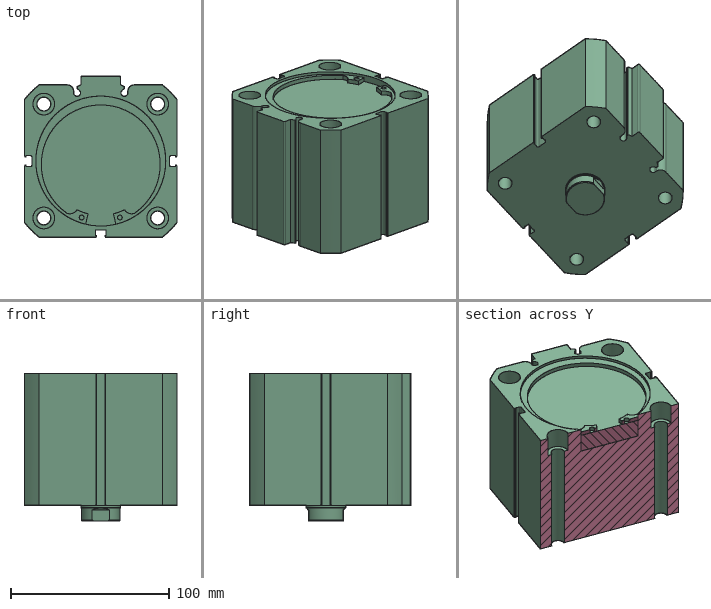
import cadquery as cq
import math


WIDTH = 96.5
HALF_WIDTH = WIDTH / 2
HEIGHT = 83.5
CORNER_RADIUS = 62.0

RAIL_WIDTH = 25.0
RAIL_TOP = 53.75
RAIL_EDGE_FILLET = 0.8

NOTCH_RADIUS = 2.1
NOTCH_X = 14.95
NOTCH_Y = 43.1
NOTCH_NECK_ANGLE = 120.0
LIP_X = 15.0
LIP_BOTTOM = 45.8
LIP_TOP = 47.0
SHOULDER_RADIUS = 4.3

SIDE_MOUTH_WIDTH = 5.2
SIDE_MOUTH_CHAMFER = 0.5
SIDE_POCKET_WIDTH = 6.8
SIDE_SLOT_DEPTH = 4.7
SIDE_LIP_THICKNESS = 1.1
SIDE_POCKET_FILLET = 0.8
FRONT_MOUTH_WIDTH = 5.4
FRONT_MOUTH_CHAMFER = 0.4
FRONT_POCKET_WIDTH = 6.4
FRONT_SLOT_DEPTH = 4.6
FRONT_LIP_THICKNESS = 1.3

BOLT_SPACING = 72.0
BOLT_HOLE_DIAMETER = 8.6
COUNTERBORE_DIAMETER = 13.7
COUNTERBORE_DEPTH = 13.0

BORE_RADIUS = 41.1
RING_RECESS = 1.7
RING_THICKNESS = 2.6
CAP_THICKNESS = 12.0
RING_TOP = HEIGHT - RING_RECESS
CAP_TOP = RING_TOP - RING_THICKNESS
CAP_BOTTOM = CAP_TOP - CAP_THICKNESS

RING_OPENING_RADIUS = 37.6
RING_OPENING_Y = -2.1
LUG_RADIUS = 34.3
LUG_GAP_ANGLE = 13.5
LUG_TIP_ANGLE = 26.0
LUG_RELIEF_X = 18.2
LUG_RELIEF_Y = -33.2
LUG_RELIEF_END_X = 21.4
LUG_HOLE_X = 12.1
LUG_HOLE_Y = -35.7
LUG_HOLE_DIAMETER = 3.0

ROD_RADIUS = 12.6
ROD_TIP_RADIUS = 12.3
ROD_LENGTH_OUTSIDE = 10.0
ROD_STEP_TOP = -1.3
ROD_STEP_BOTTOM = -1.8
ROD_END_CHAMFER_WIDTH = 0.4
ROD_END_CHAMFER_HEIGHT = 0.8
FLATS_WIDTH = 22.0
FLATS_TOP = -3.0
FLATS_RUNOUT = 2.0


def polar_from_minus_y(radius, angle):
    """Point at an angle from -Y, turning towards +X."""
    turn = math.radians(angle)
    return radius * math.sin(turn), -radius * math.cos(turn)


def make_rail():
    return (
        cq.Workplane("XY")
        .center(0, RAIL_TOP / 2)
        .rect(RAIL_WIDTH, RAIL_TOP)
        .extrude(HEIGHT)
        .edges("|Z and >Y")
        .fillet(RAIL_EDGE_FILLET)
    )


def make_rail_notch():
    """Notch on the +X side of the rail."""
    neck = math.radians(NOTCH_NECK_ANGLE)
    neck_point = (NOTCH_X + NOTCH_RADIUS * math.cos(neck), NOTCH_Y + NOTCH_RADIUS * math.sin(neck))
    wall_x = NOTCH_X + NOTCH_RADIUS
    shoulder_x = wall_x + SHOULDER_RADIUS
    shoulder_y = HALF_WIDTH - SHOULDER_RADIUS
    shoulder_offset = SHOULDER_RADIUS * math.sqrt(0.5)
    return (
        cq.Workplane("XY")
        .moveTo(RAIL_WIDTH / 2, HALF_WIDTH)
        .lineTo(LIP_X, LIP_TOP)
        .lineTo(LIP_X, LIP_BOTTOM)
        .lineTo(*neck_point)
        .threePointArc((NOTCH_X, NOTCH_Y - NOTCH_RADIUS), (wall_x, NOTCH_Y))
        .lineTo(wall_x, shoulder_y)
        .threePointArc(
            (shoulder_x - shoulder_offset, shoulder_y + shoulder_offset),
            (shoulder_x, HALF_WIDTH),
        )
        .close()
        .extrude(HEIGHT)
    )


def make_slot(mouth_width, pocket_width, depth, lip_thickness, mouth_chamfer, pocket_fillet=0):
    """T-shaped slot in the -Y face."""
    pocket_depth = depth - lip_thickness
    pocket = (
        cq.Workplane("XY")
        .center(0, -HALF_WIDTH + lip_thickness + pocket_depth / 2)
        .rect(pocket_width, pocket_depth)
        .extrude(HEIGHT)
    )
    if pocket_fillet:
        pocket = pocket.edges("|Z and >Y").fillet(pocket_fillet)
    half_mouth = mouth_width / 2
    mouth = (
        cq.Workplane("XY")
        .polyline([
            (-half_mouth - mouth_chamfer, -HALF_WIDTH),
            (half_mouth + mouth_chamfer, -HALF_WIDTH),
            (half_mouth, -HALF_WIDTH + mouth_chamfer),
            (half_mouth, -HALF_WIDTH + depth / 2),
            (-half_mouth, -HALF_WIDTH + depth / 2),
            (-half_mouth, -HALF_WIDTH + mouth_chamfer),
        ])
        .close()
        .extrude(HEIGHT)
    )
    return pocket.union(mouth)


def make_housing():
    corners = cq.Workplane("XY").circle(CORNER_RADIUS).extrude(HEIGHT)
    body = cq.Workplane("XY").rect(WIDTH, WIDTH).extrude(HEIGHT).intersect(corners)
    body = body.union(make_rail())

    notch = make_rail_notch()
    body = body.cut(notch).cut(notch.mirror("YZ"))

    body = body.cut(
        make_slot(
            FRONT_MOUTH_WIDTH,
            FRONT_POCKET_WIDTH,
            FRONT_SLOT_DEPTH,
            FRONT_LIP_THICKNESS,
            FRONT_MOUTH_CHAMFER,
        )
    )
    side_slot = make_slot(
        SIDE_MOUTH_WIDTH,
        SIDE_POCKET_WIDTH,
        SIDE_SLOT_DEPTH,
        SIDE_LIP_THICKNESS,
        SIDE_MOUTH_CHAMFER,
        SIDE_POCKET_FILLET,
    )
    for angle in (-90, 90):
        body = body.cut(side_slot.rotate((0, 0, 0), (0, 0, 1), angle))

    body = (
        body.faces(">Z")
        .workplane(origin=(0, 0, HEIGHT))
        .rect(BOLT_SPACING, BOLT_SPACING, forConstruction=True)
        .vertices()
        .cboreHole(BOLT_HOLE_DIAMETER, COUNTERBORE_DIAMETER, COUNTERBORE_DEPTH)
    )

    bore = cq.Workplane("XY").workplane(offset=CAP_BOTTOM).circle(BORE_RADIUS).extrude(HEIGHT - CAP_BOTTOM)
    rod_hole = cq.Workplane("XY").circle(ROD_RADIUS).extrude(CAP_BOTTOM)
    return body.cut(bore).cut(rod_hole)


def make_end_cap():
    return cq.Workplane("XY").workplane(offset=CAP_BOTTOM).circle(BORE_RADIUS).extrude(CAP_THICKNESS)


def make_retaining_ring():
    gap_x, gap_y = polar_from_minus_y(BORE_RADIUS, LUG_GAP_ANGLE)
    lug_corner_x, lug_corner_y = polar_from_minus_y(LUG_RADIUS, LUG_GAP_ANGLE)
    lug_middle_x, lug_middle_y = polar_from_minus_y(LUG_RADIUS, (LUG_GAP_ANGLE + LUG_TIP_ANGLE) / 2)
    tip_x, tip_y = polar_from_minus_y(LUG_RADIUS, LUG_TIP_ANGLE)
    relief_drop = math.sqrt(RING_OPENING_RADIUS ** 2 - LUG_RELIEF_END_X ** 2)
    relief_end_y = RING_OPENING_Y - relief_drop
    opening_top = RING_OPENING_Y + RING_OPENING_RADIUS
    return (
        cq.Workplane("XY")
        .workplane(offset=CAP_TOP)
        .moveTo(gap_x, gap_y)
        .threePointArc((0, BORE_RADIUS), (-gap_x, gap_y))
        .lineTo(-lug_corner_x, lug_corner_y)
        .threePointArc((-lug_middle_x, lug_middle_y), (-tip_x, tip_y))
        .threePointArc((-LUG_RELIEF_X, LUG_RELIEF_Y), (-LUG_RELIEF_END_X, relief_end_y))
        .threePointArc((0, opening_top), (LUG_RELIEF_END_X, relief_end_y))
        .threePointArc((LUG_RELIEF_X, LUG_RELIEF_Y), (tip_x, tip_y))
        .threePointArc((lug_middle_x, lug_middle_y), (lug_corner_x, lug_corner_y))
        .close()
        .extrude(RING_THICKNESS)
        .faces(">Z")
        .workplane(origin=(0, 0, RING_TOP))
        .pushPoints([(-LUG_HOLE_X, LUG_HOLE_Y), (LUG_HOLE_X, LUG_HOLE_Y)])
        .hole(LUG_HOLE_DIAMETER)
    )


def make_piston_rod():
    rod = (
        cq.Workplane("XZ")
        .polyline([
            (0, CAP_BOTTOM),
            (ROD_RADIUS, CAP_BOTTOM),
            (ROD_RADIUS, ROD_STEP_TOP),
            (ROD_TIP_RADIUS, ROD_STEP_BOTTOM),
            (ROD_TIP_RADIUS, -ROD_LENGTH_OUTSIDE + ROD_END_CHAMFER_HEIGHT),
            (ROD_TIP_RADIUS - ROD_END_CHAMFER_WIDTH, -ROD_LENGTH_OUTSIDE),
            (0, -ROD_LENGTH_OUTSIDE),
        ])
        .close()
        .revolve(360, (0, 0, 0), (0, 1, 0))
    )
    flat_y = FLATS_WIDTH / 2
    flat_cutter = (
        cq.Workplane("YZ")
        .polyline([
            (flat_y, -ROD_LENGTH_OUTSIDE),
            (flat_y, FLATS_TOP),
            (flat_y + FLATS_RUNOUT, FLATS_TOP + FLATS_RUNOUT),
            (flat_y + FLATS_RUNOUT, -ROD_LENGTH_OUTSIDE),
        ])
        .close()
        .extrude(ROD_RADIUS, both=True)
    )
    return rod.cut(flat_cutter).cut(flat_cutter.mirror("XZ"))


housing = make_housing()
end_cap = make_end_cap()
retaining_ring = make_retaining_ring()
piston_rod = make_piston_rod()

result = cq.Compound.makeCompound([
    housing.val(),
    end_cap.val(),
    retaining_ring.val(),
    piston_rod.val(),
])